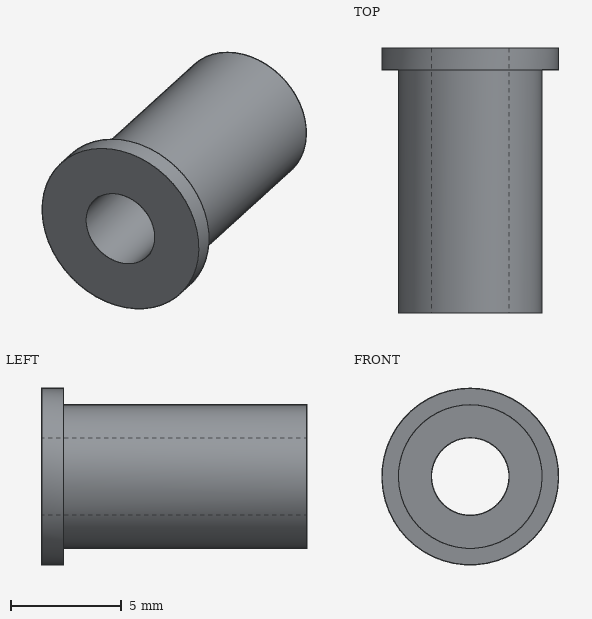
import cadquery as cq

total_length = 12.0
flange_diameter = 8.0
flange_thickness = 1.0
sleeve_diameter = 6.5
bore_diameter = 3.5

sleeve_length = total_length - flange_thickness


def cylinder_along_y(diameter, start_y, length):
    """Solid cylinder centred on the Y axis, running from start_y towards +Y."""
    return cq.Workplane(
        cq.Solid.makeCylinder(diameter / 2, length, cq.Vector(0, start_y, 0), cq.Vector(0, 1, 0))
    )


sleeve = cylinder_along_y(sleeve_diameter, 0, sleeve_length)
flange = cylinder_along_y(flange_diameter, sleeve_length, flange_thickness)
bore = cylinder_along_y(bore_diameter, 0, total_length)

result = sleeve.union(flange).cut(bore)